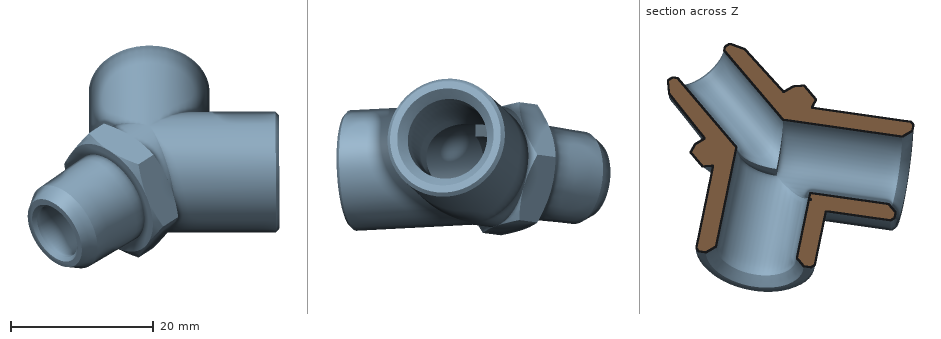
import cadquery as cq
import math

BODY_DIAMETER = 17.0
BODY_RADIUS = BODY_DIAMETER / 2

ARM_ANGLE = 45
ARM_LENGTH = 18.2
ARM_EDGE_CHAMFER = 0.5
ARM_BORE_RADIUS = 11.5 / 2
ARM_COUNTERSINK = 1.25

HEX_TOP = 3.45
HEX_HEIGHT = 4.5
HEX_CHAMFER_ANGLE = 30

STEM_END = 19.0
STEM_ROOT_RADIUS = 6.83
STEM_TAPER = 1 / 32
STEM_TIP_LENGTH = 1.95
STEM_TIP_RADIUS = 5.35
STEM_BORE_RADIUS = 8.0 / 2
STEM_BORE_CHAMFER = 0.5

hex_bottom = HEX_TOP + HEX_HEIGHT
hex_corner_radius = BODY_RADIUS / math.cos(math.radians(30))
hex_chamfer_height = (hex_corner_radius - BODY_RADIUS) * math.tan(math.radians(HEX_CHAMFER_ANGLE))


def revolve_profile(points):
    """Turn (radius, distance) points about the Y axis, distance along +Y."""
    return cq.Workplane("XY").polyline(points).close().revolve(360, (0, 0, 0), (0, 1, 0))


def place_on_stem(solid):
    """Turn a solid built along +Y so that it runs along -Y."""
    return solid.rotate((0, 0, 0), (0, 0, 1), 180)


def make_arms():
    """Two arms, mitred against each other and against the neck."""
    arm = revolve_profile([
        (0, -BODY_DIAMETER),
        (BODY_RADIUS, -BODY_DIAMETER),
        (BODY_RADIUS, ARM_LENGTH - ARM_EDGE_CHAMFER),
        (BODY_RADIUS - ARM_EDGE_CHAMFER, ARM_LENGTH),
        (0, ARM_LENGTH),
    ])
    neck_mitre_angle = math.radians(ARM_ANGLE / 2)
    reach = 2 * ARM_LENGTH
    sector = (
        cq.Workplane("XY")
        .polyline([
            (0, 0),
            (0, reach),
            (reach, reach),
            (reach * math.cos(neck_mitre_angle), -reach * math.sin(neck_mitre_angle)),
        ])
        .close()
        .extrude(BODY_DIAMETER, both=True)
    )
    right = arm.rotate((0, 0, 0), (0, 0, 1), -ARM_ANGLE).intersect(sector)
    return right.union(right.mirror("YZ"))


def make_neck():
    """Short cylinder filling the gap between the arms and the hex."""
    return cq.Workplane("XZ").circle(BODY_RADIUS).extrude(HEX_TOP)


def make_arm_bores():
    """Countersunk bores with flat ends where the axes meet."""
    bore = revolve_profile([
        (0, 0),
        (ARM_BORE_RADIUS, 0),
        (ARM_BORE_RADIUS, ARM_LENGTH - ARM_COUNTERSINK),
        (ARM_BORE_RADIUS + ARM_COUNTERSINK, ARM_LENGTH),
        (0, ARM_LENGTH),
    ])
    right = bore.rotate((0, 0, 0), (0, 0, 1), -ARM_ANGLE)
    return right.union(right.mirror("YZ"))


def make_hex():
    """Hexagon with corners on the X axis, both rims chamfered."""
    prism = (
        cq.Workplane("XZ", origin=(0, -HEX_TOP, 0))
        .polygon(6, 2 * hex_corner_radius)
        .extrude(HEX_HEIGHT)
    )
    rim_envelope = place_on_stem(revolve_profile([
        (0, HEX_TOP),
        (BODY_RADIUS, HEX_TOP),
        (hex_corner_radius, HEX_TOP + hex_chamfer_height),
        (hex_corner_radius, hex_bottom - hex_chamfer_height),
        (BODY_RADIUS, hex_bottom),
        (0, hex_bottom),
    ]))
    return prism.intersect(rim_envelope)


def make_stem():
    taper_end = STEM_END - STEM_TIP_LENGTH
    taper_end_radius = STEM_ROOT_RADIUS - STEM_TAPER * (taper_end - hex_bottom)
    return place_on_stem(revolve_profile([
        (0, hex_bottom),
        (STEM_ROOT_RADIUS, hex_bottom),
        (taper_end_radius, taper_end),
        (STEM_TIP_RADIUS, STEM_END),
        (0, STEM_END),
    ]))


def make_stem_bore():
    return place_on_stem(revolve_profile([
        (0, 0),
        (STEM_BORE_RADIUS, 0),
        (STEM_BORE_RADIUS, STEM_END - STEM_BORE_CHAMFER),
        (STEM_BORE_RADIUS + STEM_BORE_CHAMFER, STEM_END),
        (0, STEM_END),
    ]))


body = make_arms().union(make_neck()).union(make_hex()).union(make_stem())
result = body.cut(make_arm_bores()).cut(make_stem_bore())